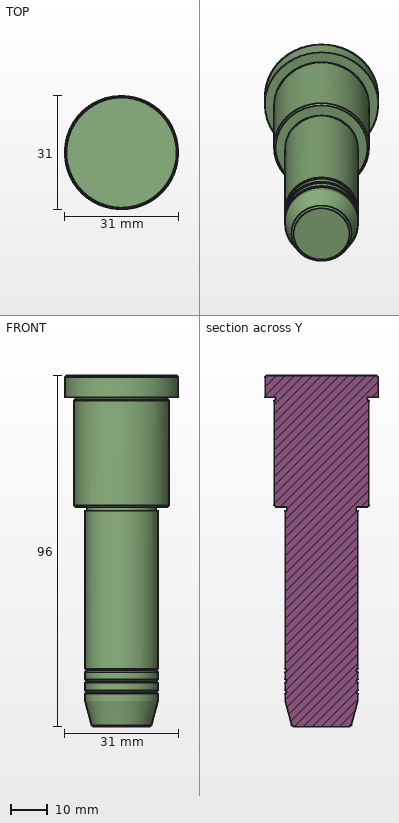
import cadquery as cq
import math

total_length = 96.0
head_height = 6.0
sleeve_bottom = 60.0
tip_height = 7.1

head_radius = 15.5
sleeve_radius = 13.01
shank_radius = 10.0

edge_chamfer = 0.5
head_relief_depth = 0.4
head_relief_bevel = 0.5
head_relief_height = 0.5
shank_relief_depth = 0.5
shank_relief_height = 1.0
tip_angle = 15.0

groove_count = 3
groove_pitch = 3.0
groove_depth = 0.5
groove_half_width = 0.5
lowest_groove_height = 9.5

head_bottom = total_length - head_height
tip_radius = shank_radius - tip_height * math.tan(math.radians(tip_angle))


def revolve_profile(points):
    """Turn (radius, height) points into a solid of revolution about Z."""
    return cq.Workplane("XZ").polyline(points).close().revolve(360, (0, 0, 0), (0, 1, 0))


def make_head():
    head = cq.Workplane("XY").workplane(offset=head_bottom).circle(head_radius).extrude(head_height)
    return head.faces(">Z").chamfer(edge_chamfer)


def make_sleeve():
    """Cylinder whose upper end bevels in to a short neck under the head."""
    neck_radius = sleeve_radius - head_relief_depth
    neck_bottom = head_bottom - head_relief_height
    sleeve = revolve_profile([
        (0, sleeve_bottom),
        (sleeve_radius, sleeve_bottom),
        (sleeve_radius, neck_bottom - head_relief_bevel),
        (neck_radius, neck_bottom),
        (neck_radius, head_bottom),
        (0, head_bottom),
    ])
    return sleeve.faces("<Z").chamfer(edge_chamfer)


def make_shank():
    """Straight cylinder with a square undercut below the sleeve."""
    neck_radius = shank_radius - shank_relief_depth
    neck_bottom = sleeve_bottom - shank_relief_height
    return revolve_profile([
        (0, tip_height),
        (shank_radius, tip_height),
        (shank_radius, neck_bottom),
        (neck_radius, neck_bottom),
        (neck_radius, sleeve_bottom),
        (0, sleeve_bottom),
    ])


def make_tip():
    tip = revolve_profile([(0, 0), (tip_radius, 0), (shank_radius, tip_height), (0, tip_height)])
    return tip.faces("<Z").chamfer(edge_chamfer)


def make_groove(height):
    return revolve_profile([
        (shank_radius, height - groove_half_width),
        (shank_radius - groove_depth, height),
        (shank_radius, height + groove_half_width),
    ])


result = make_head().union(make_sleeve()).union(make_shank()).union(make_tip())

for index in range(groove_count):
    result = result.cut(make_groove(lowest_groove_height + index * groove_pitch))